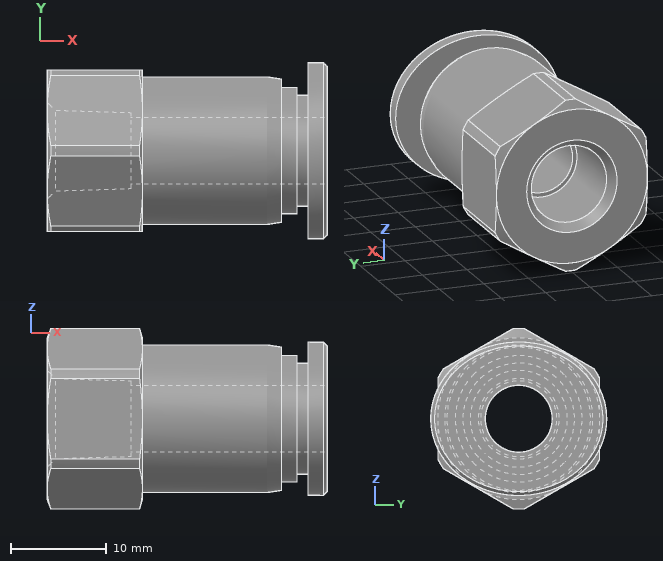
import cadquery as cq
import math


hex_length = 10.0
hex_across_flats = 17.0
hex_corner_diameter = 19.0
hex_corner_drop = (hex_corner_diameter - hex_across_flats) / 2
front_chamfer_length = 0.38
rear_chamfer_length = 0.3

body_radius = 7.75
body_taper_start = 23.1
body_end = 24.6
body_end_radius = 7.53
ring_radius = 6.65
ring_end = 26.22
neck_radius = 5.85

flange_start = 27.37
flange_end = 29.4
flange_width_y = 18.5
flange_height_z = 16.1
flange_chamfer = 0.4

countersink_radius = 5.1
bore_mouth_radius = 4.23
countersink_depth = countersink_radius - bore_mouth_radius
bore_taper_ratio = 1 / 16
bore_taper_end = 8.82
bore_end_radius = bore_mouth_radius - (bore_taper_end - countersink_depth) * bore_taper_ratio / 2
passage_radius = 3.5


def revolve_about_x(profile):
    """Turn (x, radius) points, which start and end on the axis, into a solid."""
    return cq.Workplane("XY").polyline(profile).close().revolve(360, (0, 0, 0), (1, 0, 0))


def make_hexagon():
    """Hexagon with corners on +Z and -Z, rounded and chamfered by a turned blank."""
    across_corners = hex_across_flats / math.cos(math.pi / 6)
    prism = (
        cq.Workplane("YZ")
        .transformed(rotate=(0, 0, 90))
        .polygon(6, across_corners)
        .extrude(hex_length)
    )
    corner_radius = hex_corner_diameter / 2
    face_radius = corner_radius - hex_corner_drop
    blank = revolve_about_x([
        (0, 0),
        (0, face_radius),
        (front_chamfer_length, corner_radius),
        (hex_length - rear_chamfer_length, corner_radius),
        (hex_length, face_radius),
        (hex_length, 0),
    ])
    return prism.intersect(blank)


def make_body():
    """Turned body with a tapered end, a ring and a neck that reaches the flange."""
    return revolve_about_x([
        (0, 0),
        (0, body_radius),
        (body_taper_start, body_radius),
        (body_end, body_end_radius),
        (body_end, ring_radius),
        (ring_end, ring_radius),
        (ring_end, neck_radius),
        (flange_end, neck_radius),
        (flange_end, 0),
    ])


def make_flange():
    """Elliptical flange, wider in Y than in Z, chamfered on its outer face."""
    return (
        cq.Workplane("YZ", origin=(flange_start, 0, 0))
        .ellipse(flange_width_y / 2, flange_height_z / 2)
        .extrude(flange_end - flange_start)
        .faces(">X")
        .chamfer(flange_chamfer)
    )


def make_bore():
    """Countersunk tapered bore followed by the straight through passage."""
    return revolve_about_x([
        (0, 0),
        (0, countersink_radius),
        (countersink_depth, bore_mouth_radius),
        (bore_taper_end, bore_end_radius),
        (bore_taper_end, passage_radius),
        (flange_end, passage_radius),
        (flange_end, 0),
    ])


result = make_hexagon().union(make_body()).union(make_flange()).cut(make_bore())